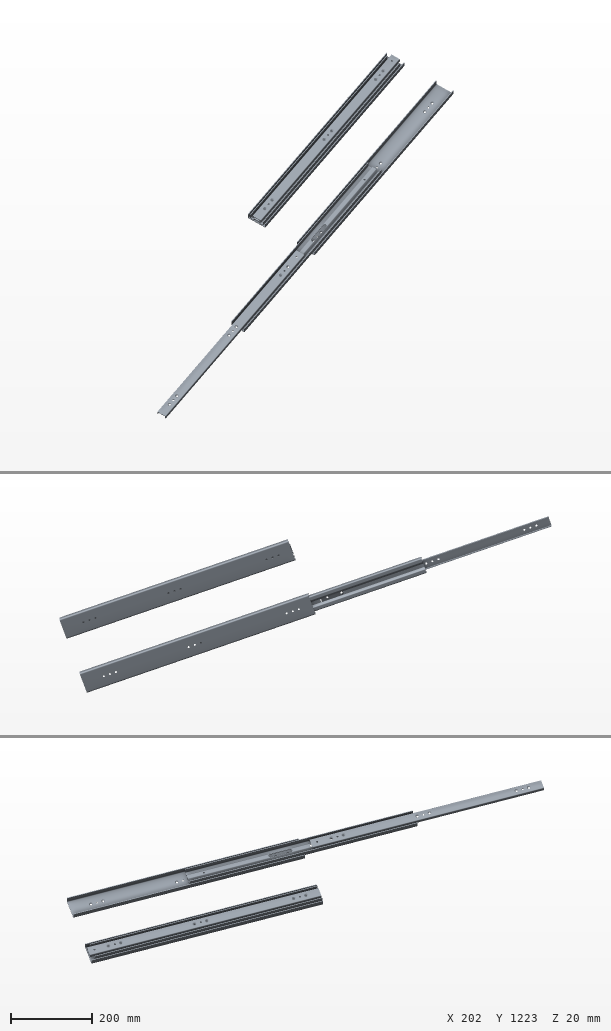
import cadquery as cq
import math


TOTAL_WIDTH = 202.0
TOTAL_LENGTH = 1223.0
TOTAL_HEIGHT = 20.0

SHEET = 1.8
OUTER_WIDTH = 54.0
OUTER_HEIGHT = 16.0
OUTER_BEND = 4.0
RAIL_LENGTH = 600.0
MIDDLE_WIDTH = 40.0
MIDDLE_LENGTH = 590.0
MIDDLE_BOTTOM = 4.5
MIDDLE_BEND = 3.0
RIDGE_TOP_WIDTH = 10.5
RIDGE_RISE = 5.3
RIDGE_BEND = 2.0
INNER_WIDTH = 26.0
INNER_HEIGHT = 9.0
INNER_BEND = SHEET

CLOSED_FRONT = TOTAL_LENGTH - RAIL_LENGTH
INNER_TRAVEL = CLOSED_FRONT
MIDDLE_TRAVEL = 294.0

HOLE_DIAMETER = 5.0
COUNTERSINK_DIAMETER = 10.0
SCREW_PITCH = 32.0
GROUP_STARTS = (0.0, 257.0, 480.0)
OUTER_FIRST_SCREW = 34.0
INNER_FIRST_SCREW = 35.0
INNER_REAR_HOLE = 16.0
MIDDLE_REAR_HOLE = 43.0
SLOT_LENGTH = 61.0
SLOT_WIDTH = 10.0
SLOT_OFFSET = 54.0

SLIDE_X = (TOTAL_WIDTH - OUTER_WIDTH) / 2
CLOSED_X = -SLIDE_X
OPEN_X = SLIDE_X


def offset_corners(corners, distance):
    """Corners of an open line moved sideways to its left by distance, with mitred joints."""
    headings = [math.atan2(b[1] - a[1], b[0] - a[0]) for a, b in zip(corners, corners[1:])]
    before = [headings[0]] + headings
    after = headings + [headings[-1]]
    moved = []
    for (x, z), turn_from, turn_to in zip(corners, before, after):
        normal = (turn_from + turn_to + math.pi) / 2
        reach = distance / math.cos((turn_to - turn_from) / 2)
        moved.append((x + reach * math.cos(normal), z + reach * math.sin(normal)))
    return moved


def bent_sheet(corners, radii, length):
    """Sheet whose right-hand face follows corners, run along +Y from Y = 0.

    radii holds the outside radius of the bend at each corner between the two ends.
    """
    other_face = offset_corners(corners, SHEET)
    outline = corners + other_face[::-1]
    sheet = cq.Workplane("XZ").polyline(outline).close().extrude(-length)
    for i, outside in enumerate(radii, start=1):
        (x0, z0), (x1, z1), (x2, z2) = corners[i - 1:i + 2]
        turns_left = (x1 - x0) * (z2 - z1) - (z1 - z0) * (x2 - x1) > 0
        inside = outside - SHEET
        face_radius, other_radius = (outside, inside) if turns_left else (inside, outside)
        for (x, z), radius in ((corners[i], face_radius), (other_face[i], other_radius)):
            if radius <= 0:
                continue
            edge = cq.selectors.NearestToPointSelector((x, length / 2, z))
            sheet = sheet.edges("|Y").edges(edge).fillet(radius)
    return sheet


def round_holes(positions, top):
    """Cutters for plain holes through a sheet whose upper face is at top."""
    return (
        cq.Workplane("XY", origin=(0, 0, top - 2 * SHEET))
        .pushPoints([(0, y) for y in positions])
        .circle(HOLE_DIAMETER / 2)
        .extrude(3 * SHEET)
    )


def countersinks(positions, top):
    """Cones that widen from the hole at the lower face to the full countersink at top."""
    cones = cq.Workplane("XY")
    for y in positions:
        cones = cones.add(
            cq.Solid.makeCone(
                HOLE_DIAMETER / 2, COUNTERSINK_DIAMETER / 2, SHEET, pnt=cq.Vector(0, y, top - SHEET)
            )
        )
    return cones.combine()


def drill_screw_groups(rail, first_screw, top):
    """Cut groups of two countersunk holes with a plain hole halfway between them."""
    starts = [first_screw + start for start in GROUP_STARTS]
    screws = starts + [y + SCREW_PITCH for y in starts]
    plain = [y + SCREW_PITCH / 2 for y in starts]
    return rail.cut(countersinks(screws, top)).cut(round_holes(plain, top))


def make_outer_rail():
    """Channel that opens upward and rests on Z = 0."""
    side = OUTER_WIDTH / 2
    corners = [(-side, OUTER_HEIGHT), (-side, 0), (side, 0), (side, OUTER_HEIGHT)]
    rail = bent_sheet(corners, [OUTER_BEND] * 2, RAIL_LENGTH)
    return drill_screw_groups(rail, OUTER_FIRST_SCREW, SHEET)


def make_middle_rail():
    """Channel that opens upward, with a 45 degree ridge along its floor."""
    side = MIDDLE_WIDTH / 2
    floor = MIDDLE_BOTTOM
    ridge_floor = floor + RIDGE_RISE
    ridge_side = RIDGE_TOP_WIDTH / 2 - SHEET * math.tan(math.pi / 8)
    ridge_foot = ridge_side + RIDGE_RISE
    corners = [
        (-side, TOTAL_HEIGHT),
        (-side, floor),
        (-ridge_foot, floor),
        (-ridge_side, ridge_floor),
        (ridge_side, ridge_floor),
        (ridge_foot, floor),
        (side, floor),
        (side, TOTAL_HEIGHT),
    ]
    radii = [MIDDLE_BEND] + [RIDGE_BEND] * 4 + [MIDDLE_BEND]
    rail = bent_sheet(corners, radii, MIDDLE_LENGTH)
    ridge_top = ridge_floor + SHEET
    rear_hole = round_holes([MIDDLE_LENGTH - MIDDLE_REAR_HOLE], ridge_top)
    slots = (
        cq.Workplane("XY", origin=(0, MIDDLE_LENGTH / 2, floor))
        .pushPoints([(0, -SLOT_OFFSET), (0, SLOT_OFFSET)])
        .slot2D(SLOT_LENGTH, SLOT_WIDTH, 90)
        .extrude(TOTAL_HEIGHT)
    )
    return rail.cut(rear_hole).cut(slots)


def make_inner_rail():
    """Channel that opens downward, with its back at the full height."""
    side = INNER_WIDTH / 2
    bottom = TOTAL_HEIGHT - INNER_HEIGHT
    corners = [(side, bottom), (side, TOTAL_HEIGHT), (-side, TOTAL_HEIGHT), (-side, bottom)]
    rail = bent_sheet(corners, [INNER_BEND] * 2, RAIL_LENGTH)
    rail = drill_screw_groups(rail, INNER_FIRST_SCREW, TOTAL_HEIGHT)
    return rail.cut(round_holes([RAIL_LENGTH - INNER_REAR_HOLE], TOTAL_HEIGHT))


def make_slide(x, middle_travel, inner_travel):
    """The three rails of one slide, with the middle and inner rails pulled toward -Y."""
    outer = make_outer_rail().translate((x, CLOSED_FRONT, 0))
    middle = make_middle_rail().translate((x, CLOSED_FRONT - middle_travel, 0))
    inner = make_inner_rail().translate((x, CLOSED_FRONT - inner_travel, 0))
    return [outer.val(), middle.val(), inner.val()]


closed_slide = make_slide(CLOSED_X, 0, 0)
open_slide = make_slide(OPEN_X, MIDDLE_TRAVEL, INNER_TRAVEL)

result = cq.Compound.makeCompound([*closed_slide, *open_slide])